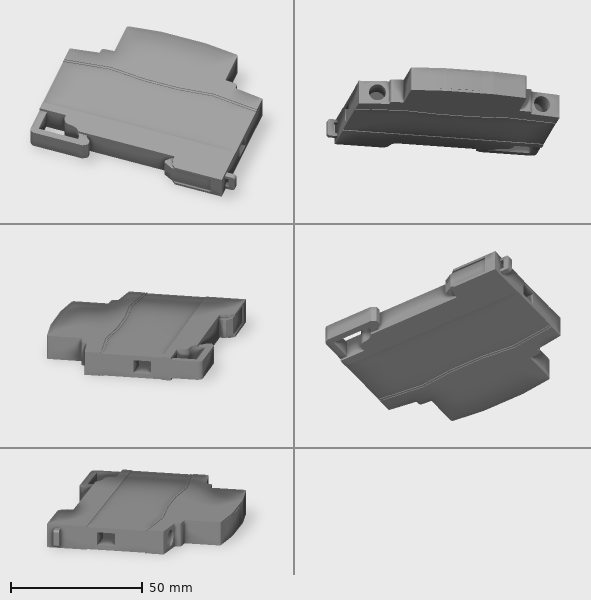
import cadquery as cq
import math


thickness = 9.2
half_width = 39.0
foot_height = 5.6

shoulder_outer_y = 45.6
shoulder_inner_x = 27.5
shoulder_inner_y = 47.3
ledge_outer_y = 49.6
ledge_inner_y = 50.0
ledge_radius = 1.1
nose_half_width = 22.5
nose_edge_y = 64.05
nose_radius = 0.9
roof_half_width = 8.9
roof_y = 65.7

label_width = 7.2
label_center_x = 2.0
label_top_y = 65.9
label_radius = 93.5
label_half_chord = 18.0

side_depth = 0.25
seam_edge_y = 39.45
seam_peak_x = 20.7
seam_peak_y = 41.65
seam_flat_x = 7.05
seam_flat_y = 40.3
seam_groove_width = 0.5
seam_rib_width = 0.6
recess_bottom_y = 15.5

hook_thickness = 7.2
hook_top_y = 12.0
hook_wall = 2.95
hook_floor = 2.6
hook_corner_radius = 2.1
hook_tip_x = -15.6
hook_tip_bottom_y = 1.2
hook_tip_top_y = 3.1
hook_neck_x = -17.4
hook_neck_y = 4.75
relief_x = -28.4
bulge_radius = 3.2
hollow_radius = 5.1

foot_x = 17.9
foot_jog_x = 18.45
foot_jog_top_y = 3.45
foot_jog_bottom_y = 2.8
foot_chamfer = 1.55

latch_thickness = 6.7
latch_pocket_width = 7.2
latch_end_x = 34.5
latch_bottom_y = 0.6
latch_slope_x = 18.45
latch_tip_x = 14.9
latch_tip_bottom_y = 2.55
latch_tip_top_y = 3.5
latch_top_x = 16.8
tab_bottom_y = 3.45
tab_length = 3.9
tab_corner_radius = 1.1
tab_slot_length = 1.5
tab_slot_width = 4.1

wire_bottom_y = 19.7
wire_height = 6.9
wire_width = 5.1
wire_depth = 9.8
screw_diameter = 6.4
screw_x = 32.0
screw_depth = 8.2


def slab(outline, width):
    """Extrude a closed XY outline to the given width, centred on Z = 0."""
    return outline.close().extrude(width / 2, both=True)


def block(x_min, x_max, y_min, y_max, width):
    """Rectangular block between X and Y limits, centred on Z = 0."""
    return cq.Workplane("XY").box(x_max - x_min, y_max - y_min, width).translate(
        ((x_min + x_max) / 2, (y_min + y_max) / 2, 0)
    )


def both_sides(solid):
    """The solid together with its mirror image about X = 0."""
    return solid.union(solid.mirror("YZ"))


bulge_end_x = relief_x + bulge_radius
hollow_center_y = hook_floor
bulge_end_y = hollow_center_y + hollow_radius
bulge_center_y = bulge_end_y + bulge_radius
hollow_end_x = bulge_end_x + hollow_radius
diagonal = math.sqrt(0.5)
bulge_middle = (bulge_end_x - bulge_radius * diagonal, bulge_center_y - bulge_radius * diagonal)


def hollow_point(angle):
    """Point on the hollow, with the angle in radians from +X."""
    return (
        bulge_end_x + hollow_radius * math.cos(angle),
        hollow_center_y + hollow_radius * math.sin(angle),
    )


def housing_core():
    """Full-thickness part of the housing without the rail hook."""
    foot_angle = math.asin((foot_height - hollow_center_y) / hollow_radius)
    upper = [
        (half_width, shoulder_outer_y),
        (shoulder_inner_x, shoulder_inner_y),
        (shoulder_inner_x, ledge_outer_y),
        (nose_half_width, ledge_inner_y),
        (nose_half_width, nose_edge_y),
        (roof_half_width, roof_y),
    ]
    outline = (
        cq.Workplane("XY")
        .moveTo(-half_width, hook_top_y)
        .lineTo(relief_x, hook_top_y)
        .lineTo(relief_x, bulge_center_y)
        .threePointArc(bulge_middle, (bulge_end_x, bulge_end_y))
        .threePointArc(hollow_point((math.pi / 2 + foot_angle) / 2), hollow_point(foot_angle))
        .lineTo(foot_x, foot_height)
        .lineTo(foot_x, foot_jog_top_y)
        .lineTo(foot_jog_x, foot_jog_bottom_y)
        .lineTo(foot_jog_x, foot_chamfer)
        .lineTo(foot_jog_x + foot_chamfer, 0)
        .lineTo(half_width, 0)
    )
    for x, y in upper:
        outline = outline.lineTo(x, y)
    for x, y in reversed(upper):
        outline = outline.lineTo(-x, y)
    core = slab(outline, thickness)
    for x, y, radius in (
        (shoulder_inner_x, ledge_outer_y, ledge_radius),
        (nose_half_width, nose_edge_y, nose_radius),
    ):
        for side in (-1, 1):
            core = core.edges(cq.selectors.NearestToPointSelector((side * x, y, 0))).fillet(radius)
    return core


def rail_hook():
    """Thinner fixed hook that closes the window and grips the rail."""
    outline = (
        cq.Workplane("XY")
        .moveTo(-half_width, hook_top_y)
        .lineTo(-half_width, hook_corner_radius)
        .radiusArc((-half_width + hook_corner_radius, 0), -hook_corner_radius)
        .lineTo(hook_neck_x, 0)
        .lineTo(hook_tip_x, hook_tip_bottom_y)
        .lineTo(hook_tip_x, hook_tip_top_y)
        .lineTo(hook_neck_x, hook_neck_y)
        .lineTo(hook_neck_x, bulge_end_y)
        .lineTo(bulge_end_x, bulge_end_y)
        .threePointArc(hollow_point(math.pi / 4), (hollow_end_x, hook_floor))
        .lineTo(-half_width + hook_wall, hook_floor)
        .lineTo(-half_width + hook_wall, hook_top_y)
    )
    return slab(outline, hook_thickness)


def label_pad():
    """Shallow crowned pad standing just proud of the roof."""
    chord_drop = label_radius - math.sqrt(label_radius**2 - label_half_chord**2)
    chord_y = label_top_y - chord_drop
    outline = (
        cq.Workplane("XY")
        .moveTo(label_center_x - label_half_chord, chord_y)
        .threePointArc((label_center_x, label_top_y), (label_center_x + label_half_chord, chord_y))
    )
    return slab(outline, label_width)


def seam_points(drop):
    """Points of the wavy seam from left to right, lowered by the given drop."""
    right = [
        (seam_flat_x, seam_flat_y - drop),
        (seam_peak_x, seam_peak_y - drop),
        (half_width, seam_edge_y - drop),
    ]
    left = [(-x, y) for x, y in reversed(right)]
    return left + right


def side_cutters():
    """Seam groove and flat recess, for both broad faces."""
    groove = seam_points(0) + seam_points(seam_groove_width)[::-1]
    recess = seam_points(seam_groove_width + seam_rib_width)
    recess += [(half_width, recess_bottom_y), (-half_width, recess_bottom_y)]
    floor = cq.Workplane("XY").workplane(offset=thickness / 2 - side_depth)
    cutters = floor.polyline(groove).close().extrude(side_depth)
    cutters = cutters.union(floor.polyline(recess).close().extrude(side_depth))
    return cutters.union(cutters.mirror("XY"))


def wire_openings():
    """Rectangular wire entries in the two end faces."""
    return both_sides(
        block(half_width - wire_depth, half_width, wire_bottom_y, wire_bottom_y + wire_height, wire_width)
    )


def screw_holes():
    """Round blind holes square to the sloping shoulders."""
    run = half_width - shoulder_inner_x
    rise = shoulder_inner_y - shoulder_outer_y
    center_y = shoulder_outer_y + rise * (half_width - screw_x) / run
    inward = cq.Vector(-rise, -run, 0).normalized()
    mouth = cq.Vector(screw_x, center_y, 0)
    hole = cq.Solid.makeCylinder(screw_diameter / 2, screw_depth, mouth, inward)
    return both_sides(cq.Workplane(hole))


def latch_cavity():
    """Pocket open below and to the rail, plus the slot for the pull tab."""
    pocket = block(foot_x, latch_end_x, 0, foot_height, latch_pocket_width)
    slot = block(latch_end_x, half_width, tab_bottom_y, foot_height, latch_thickness)
    return pocket.union(slot)


def make_housing():
    housing = housing_core().union(rail_hook()).union(label_pad())
    for cutter in (side_cutters(), wire_openings(), screw_holes(), latch_cavity()):
        housing = housing.cut(cutter)
    return housing


def make_latch():
    """Sliding latch: wedge-shaped nose, bar and pull tab with a slot."""
    tab_end_x = half_width + tab_length
    outline = cq.Workplane("XY").polyline(
        [
            (latch_top_x, foot_height),
            (latch_tip_x, latch_tip_top_y),
            (latch_tip_x, latch_tip_bottom_y),
            (latch_slope_x, latch_bottom_y),
            (latch_end_x, latch_bottom_y),
            (latch_end_x, tab_bottom_y),
            (tab_end_x, tab_bottom_y),
            (tab_end_x, foot_height),
        ]
    )
    latch = slab(outline, latch_thickness)
    latch = latch.faces(">X").edges("|Y").fillet(tab_corner_radius)
    slot = block(half_width, half_width + tab_slot_length, tab_bottom_y, foot_height, tab_slot_width)
    return latch.cut(slot)


housing = make_housing()
latch = make_latch()
result = cq.Compound.makeCompound([housing.solids().val(), latch.solids().val()])